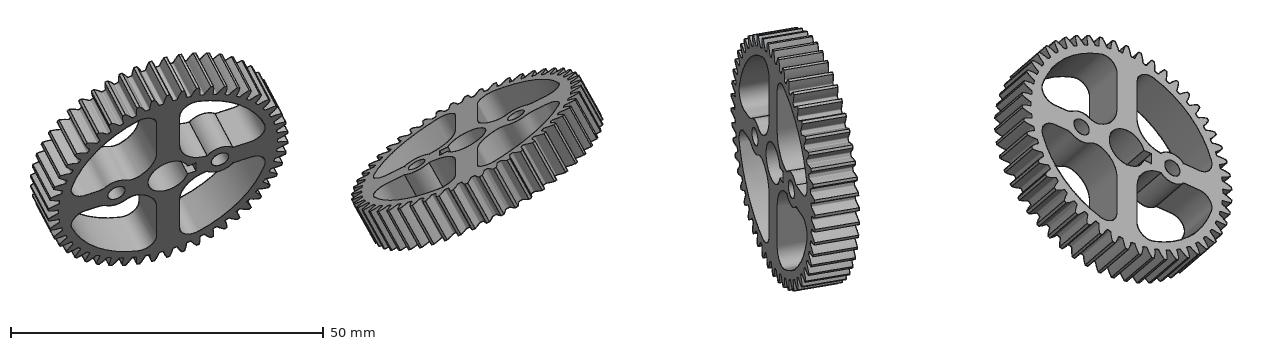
import cadquery as cq
import math

face_width = 7.5

tooth_count = 50
tip_radius = 20.8
module = 2 * tip_radius / (tooth_count + 2)
pitch_radius = module * tooth_count / 2
dedendum = 1.25 * module
root_radius = pitch_radius - dedendum
tooth_thinning = 0.11
pressure_angle = math.radians(20)
base_radius = pitch_radius * math.cos(pressure_angle)
flank_points = 4
root_fillet_radius = 0.2

bore_radius = 3.5
keyway_width = 2.0
keyway_reach = 4.83

side_hole_radius = 1.5
side_hole_offset = 9.0
boss_radius = 2 * side_hole_radius

arm_width = 4.0
rim_inner_radius = 17.5
rim_corner_radius = 2.5
hub_corner_radius = 5.0
boss_blend_radius = 2.5


def involute(angle):
    return math.tan(angle) - angle


def polar(radius, angle):
    return radius * math.cos(angle), radius * math.sin(angle)


def half_tooth_angle(radius):
    """Half the angle that an involute tooth spans at a given radius."""
    half_at_pitch = math.pi / (2 * tooth_count) - tooth_thinning / (2 * pitch_radius)
    pressure_here = math.acos(base_radius / radius)
    return half_at_pitch + involute(pressure_angle) - involute(pressure_here)


def gear_blank():
    """Solid toothed disc, with filleted tooth roots."""
    pitch_angle = 2 * math.pi / tooth_count
    root_half_angle = half_tooth_angle(root_radius)
    radius_step = (tip_radius - root_radius) / (flank_points - 1)
    radii = [root_radius + i * radius_step for i in range(flank_points)]

    first_center = math.pi / 2
    outline = cq.Workplane("YZ").moveTo(*polar(root_radius, first_center - root_half_angle))
    for tooth in range(tooth_count):
        center = first_center + tooth * pitch_angle
        rising = [polar(r, center - half_tooth_angle(r)) for r in radii]
        falling = [polar(r, center + half_tooth_angle(r)) for r in reversed(radii)]
        gap_middle = polar(root_radius, center + pitch_angle / 2)
        next_tooth = polar(root_radius, center + pitch_angle - root_half_angle)
        outline = (
            outline.spline(rising[1:], includeCurrent=True)
            .threePointArc(polar(tip_radius, center), falling[0])
            .spline(falling[1:], includeCurrent=True)
            .threePointArc(gap_middle, next_tooth)
        )
    blank = outline.close().extrude(face_width)

    middle_radius = (root_radius + tip_radius) / 2
    root_edges = blank.edges("|X").filter(
        lambda edge: math.hypot(edge.Center().y, edge.Center().z) < middle_radius
    )
    return root_edges.fillet(root_fillet_radius)


def cylinder(radius, y_center=0.0):
    return cq.Workplane("YZ").center(y_center, 0).circle(radius).extrude(face_width)


def round_corner(window, y, z, radius):
    """Fillet the edge of the window, parallel to X, that is nearest to (y, z)."""
    corner = cq.selectors.NearestToPointSelector((face_width / 2, y, z))
    return window.edges("|X").edges(corner).fillet(radius)


def window_between_arms(y_side, blend_boss):
    """Window above the Y arms, on the +Y (1) or -Y (-1) side."""
    half_arm = arm_width / 2
    quadrant_center = half_arm + rim_inner_radius / 2
    quadrant = (
        cq.Workplane("YZ")
        .center(y_side * quadrant_center, quadrant_center)
        .rect(rim_inner_radius, rim_inner_radius)
        .extrude(face_width)
    )
    window = cylinder(rim_inner_radius).intersect(quadrant)

    arm_end = math.sqrt(rim_inner_radius**2 - half_arm**2)
    window = round_corner(window, y_side * half_arm, half_arm, hub_corner_radius)
    window = round_corner(window, y_side * arm_end, half_arm, rim_corner_radius)
    window = round_corner(window, y_side * half_arm, arm_end, rim_corner_radius)

    window = window.cut(cylinder(boss_radius, y_side * side_hole_offset))
    if blend_boss:
        half_chord = math.sqrt(boss_radius**2 - half_arm**2)
        for y in (side_hole_offset + half_chord, side_hole_offset - half_chord):
            window = round_corner(window, y_side * y, half_arm, boss_blend_radius)
    return window


def keyway():
    return (
        cq.Workplane("YZ")
        .center(keyway_reach / 2, 0)
        .rect(keyway_reach, keyway_width)
        .extrude(face_width)
    )


openings = cylinder(bore_radius).union(keyway())

for y_side, blend_boss in ((1, False), (-1, True)):
    upper_window = window_between_arms(y_side, blend_boss)
    openings = openings.add(upper_window)
    openings = openings.add(upper_window.mirror("XY"))
    openings = openings.add(cylinder(side_hole_radius, y_side * side_hole_offset))

result = gear_blank().cut(openings.combine())